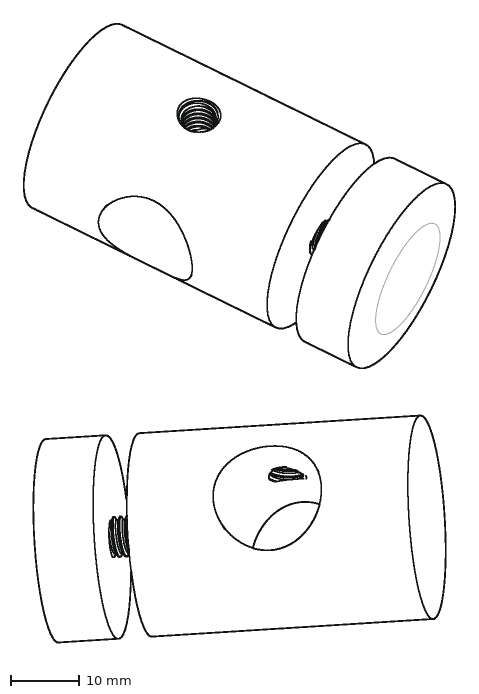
import cadquery as cq
import math

total_length = 57.0
outer_diameter = 30.0
outer_radius = outer_diameter / 2
housing_length = 42.0
gap = 5.0
bevel_height = 1.0
cap_flat_radius = 9.0
cap_start = housing_length + gap
cap_edge = total_length - bevel_height

bore_diameter = 16.2
bore_x = housing_length / 2

thread_pitch = 1.0
thread_major_radius = 6.0 / 2
thread_minor_radius = 5.0 / 2
flank_angle = math.radians(30)
crest_width = thread_pitch / 8
thread_overlap = 0.05

stud_depth = 8.0
stud_start = housing_length - stud_depth
stud_phase = 0.1

countersink_radius = 6.5 / 2
countersink_depth = (countersink_radius - thread_minor_radius) / math.tan(flank_angle)


def threaded_rod(length, phase):
    """Right-handed threaded rod on +Z from the origin, with flat ends."""
    root_radius = thread_minor_radius - thread_overlap
    half_crest = crest_width / 2
    half_root = half_crest + (thread_major_radius - root_radius) * math.tan(flank_angle)
    ridge_start = phase - 2 * thread_pitch
    ridge_length = length + 4 * thread_pitch

    helix = cq.Wire.makeHelix(thread_pitch, ridge_length, thread_minor_radius)
    ridge = (
        cq.Workplane("XZ")
        .polyline([
            (root_radius, -half_root),
            (thread_major_radius, -half_crest),
            (thread_major_radius, half_crest),
            (root_radius, half_root),
        ])
        .close()
        .sweep(cq.Workplane(helix), isFrenet=True)
        .translate((0, 0, ridge_start))
    )
    envelope = cq.Workplane("XY").circle(2 * thread_major_radius).extrude(length)
    core = cq.Workplane("XY").circle(thread_minor_radius).extrude(length)
    return core.union(ridge.intersect(envelope))


def make_cap_screw():
    """Cap with a conical rim around its flat end, and its threaded stud pointing towards the housing."""
    cap = (
        cq.Workplane("XY")
        .moveTo(cap_start, 0)
        .lineTo(cap_start, outer_radius)
        .lineTo(cap_edge, outer_radius)
        .lineTo(total_length, cap_flat_radius)
        .lineTo(total_length, 0)
        .close()
        .revolve(360, (0, 0, 0), (1, 0, 0))
    )
    stud = (
        threaded_rod(cap_start - stud_start, stud_phase)
        .rotate((0, 0, 0), (0, 1, 0), 90)
        .translate((stud_start, 0, 0))
    )
    return cap.union(stud)


def cut_cross_bore(body):
    bore = (
        cq.Workplane("XZ")
        .center(bore_x, 0)
        .circle(bore_diameter / 2)
        .extrude(outer_radius, both=True)
    )
    return body.cut(bore)


def cut_set_screw_hole(body):
    """Threaded and countersunk hole from the top into the cross bore."""
    hole = threaded_rod(outer_radius, 0).translate((bore_x, 0, 0))
    countersink = cq.Workplane(cq.Solid.makeCone(
        thread_minor_radius, countersink_radius, countersink_depth,
        cq.Vector(bore_x, 0, outer_radius - countersink_depth),
    ))
    return body.cut(hole).cut(countersink)


def make_housing(screw):
    """Cylinder with the cross bore, the set-screw hole and a hole that matches the stud."""
    body = cq.Workplane("YZ").circle(outer_radius).extrude(housing_length)
    body = cut_set_screw_hole(body)
    body = cut_cross_bore(body)
    return body.cut(screw)


cap_screw = make_cap_screw()
housing = make_housing(cap_screw)

result = cq.Compound.makeCompound([housing.val(), cap_screw.val()])